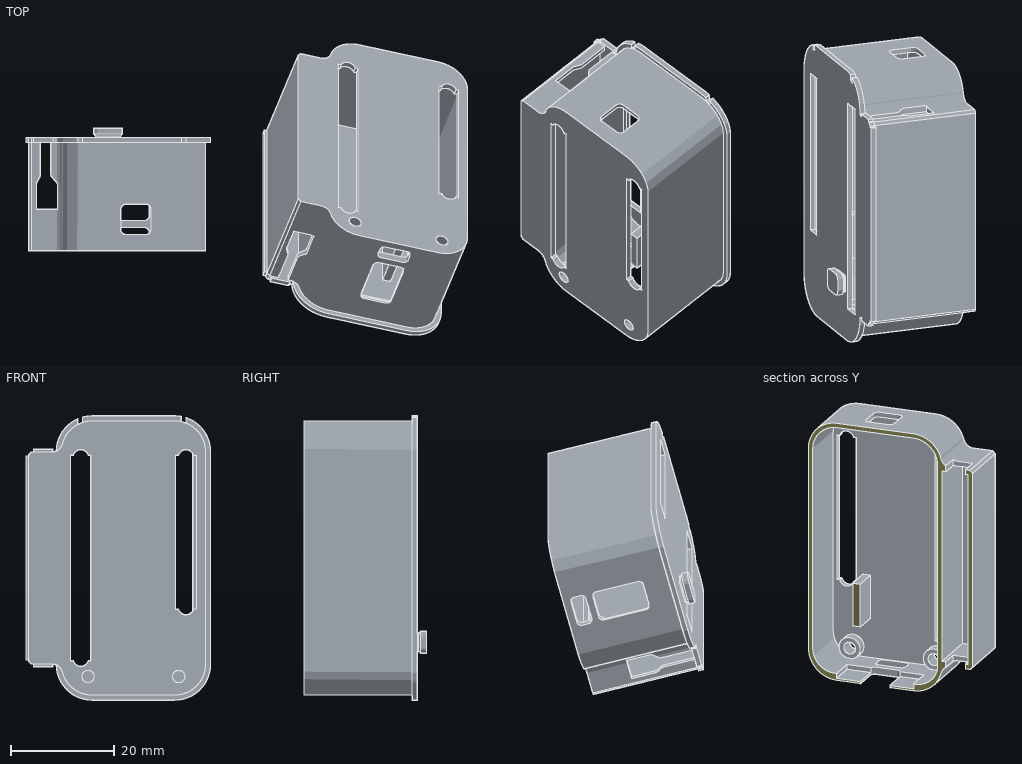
import cadquery as cq
import math

MAIN_WIDTH = 28.0
MAIN_HEIGHT = 53.23
DEPTH = 21.0
WALL = 1.0
FRONT_WALL = 1.2
BOTTOM_WALL = 1.5
CORNER_RADIUS = 6.0
BAY_LEFT = -20.35
BAY_HEIGHT = MAIN_HEIGHT - 2 * CORNER_RADIUS
BAY_CORNER_CHAMFER = 0.55
JOINT_RADIUS = 2.0

LID_THICKNESS = 1.0
MAIN_LIP = 1.0
BAY_LIP = 0.53
SIDE_LIP_HEIGHT = 39.6
BAY_LIP_LEFT = -19.4
BAY_LIP_RIGHT = -15.65
LIP_NOTCH_WIDTH = 0.9
LEFT_NOTCH_X = -10.8
RIGHT_NOTCH_X = 9.3

SLOT_X = 10.2
SLOT_WIDTH = 4.0
SLOT_TOP = 21.0
LONG_SLOT_BOTTOM = -21.0
SHORT_SLOT_BOTTOM = -11.0
SLOT_END_WIDTH = 3.0
SLOT_END_HEIGHT = 1.08
LID_LONG_SLOT_WIDTH = 3.85
LID_SHORT_SLOT_WIDTH = 3.3

HOLE_DIAMETER = 2.4
HOLE_X = 8.8
HOLE_Z = -23.0
BOSS_DIAMETER = 4.4
BOSS_LENGTH = 2.0

WINDOW_SIZE = 5.85
WINDOW_X = 0.48
WINDOW_Y = 6.1
WINDOW_RADIUS = 1.0

PORT_WIDTH = 6.1
PORT_RADIUS = 0.9
SMALL_PORT_FRONT = 1.5
SMALL_PORT_BACK = 4.5
LARGE_PORT_FRONT = 5.9
LARGE_PORT_BACK = 16.0
RECESS_WIDTH = 16.0
RECESS_FRONT = 6.55
RECESS_BACK = 16.6
RECESS_DEPTH = 1.0

NECK_LEFT, NECK_RIGHT = -18.05, -16.05
BELLY_LEFT, BELLY_RIGHT = -18.8, -14.75
BELLY_FRONT, BELLY_BACK = 8.1, 13.1
NECK_FRONT = 14.5
SHOULDER_RADIUS = 0.7

RIB_LEFT, RIB_RIGHT = 3.1, 4.7
RIB_FRONT = 6.55
RIB_BOTTOM, RIB_TOP = -14.9, -6.0

BUTTON_WIDTH = 5.6
BUTTON_HEIGHT = 4.35
BUTTON_RADIUS = 1.25
BUTTON_X = -4.92
BUTTON_Z = -16.35
BUTTON_STANDOFF = 0.25
BUTTON_THICKNESS = 1.55
BUTTON_CHAMFER = 0.4

LID_BACK = DEPTH + LID_THICKNESS


def prism(y_min, thickness, outline):
    """Extrude an outline drawn in X and Z toward +Y, starting at the given Y."""
    workplane = cq.Workplane("XZ", origin=(0, y_min, 0))
    return outline(workplane).extrude(-thickness)


def box(x_min, x_max, y_min, y_max, z_min, z_max):
    """A block between the given limits."""
    block = cq.Workplane("XY").box(x_max - x_min, y_max - y_min, z_max - z_min, centered=False)
    return block.translate((x_min, y_min, z_min))


def rounded_plate(y_min, thickness, width, height, radius):
    """A plate in the XZ plane, centred on X = Z = 0, with its four corners rounded."""
    plate = prism(y_min, thickness, lambda w: w.rect(width, height))
    return plate.edges("|Y").fillet(radius)


def housing_prism(y_min, thickness):
    """The outline of the housing extruded toward +Y."""
    corner = CORNER_RADIUS
    joint = JOINT_RADIUS
    left = BAY_LEFT
    bay_half = BAY_HEIGHT / 2
    right = MAIN_WIDTH / 2
    top = MAIN_HEIGHT / 2
    corner_x = MAIN_WIDTH / 2 - CORNER_RADIUS
    corner_z = MAIN_HEIGHT / 2 - CORNER_RADIUS
    joint_z = bay_half + joint
    joint_x = -corner_x - math.sqrt((corner + joint) ** 2 - (joint_z - corner_z) ** 2)
    share = corner / (corner + joint)
    touch_x = -corner_x + share * (joint_x + corner_x)
    touch_z = corner_z + share * (joint_z - corner_z)

    def outline(w):
        return (
            w.moveTo(left, -bay_half)
            .lineTo(joint_x, -bay_half)
            .radiusArc((touch_x, -touch_z), joint)
            .radiusArc((-corner_x, -top), -corner)
            .lineTo(corner_x, -top)
            .radiusArc((right, -corner_z), -corner)
            .lineTo(right, corner_z)
            .radiusArc((corner_x, top), -corner)
            .lineTo(-corner_x, top)
            .radiusArc((touch_x, touch_z), -corner)
            .radiusArc((joint_x, bay_half), joint)
            .lineTo(left, bay_half)
            .close()
        )

    return prism(y_min, thickness, outline).edges("|Y and <X").chamfer(BAY_CORNER_CHAMFER)


def main_cavity():
    """The inside of the main box, open at the back."""
    cavity = box(
        WALL - MAIN_WIDTH / 2,
        MAIN_WIDTH / 2 - WALL,
        FRONT_WALL,
        DEPTH,
        BOTTOM_WALL - MAIN_HEIGHT / 2,
        MAIN_HEIGHT / 2 - WALL,
    )
    top_radius = CORNER_RADIUS - WALL
    bottom_radius = CORNER_RADIUS - BOTTOM_WALL
    return cavity.edges("|Y and >Z").fillet(top_radius).edges("|Y and <Z").fillet(bottom_radius)


def bay_cavity():
    """The inside of the side bay, parted from the main box by the -X wall of that box."""
    half_height = BAY_HEIGHT / 2 - WALL
    return box(BAY_LEFT + WALL, -MAIN_WIDTH / 2, FRONT_WALL, DEPTH, -half_height, half_height)


def strap_slot(x, bottom):
    """Cutter for one strap slot in the front wall."""
    left = x - SLOT_WIDTH / 2
    low = bottom + SLOT_END_HEIGHT
    high = SLOT_TOP - SLOT_END_HEIGHT
    slot = box(left, left + SLOT_WIDTH, 0, FRONT_WALL, low, high)
    end_radius = SLOT_END_WIDTH / 2
    for z in (bottom + end_radius, SLOT_TOP - end_radius):
        slot = slot.union(prism(0, FRONT_WALL, lambda w: w.center(x, z).circle(end_radius)))
    return slot


def wall_opening(x, y_min, y_max, z_min, z_max, width, radius):
    """Cutter through a top or bottom wall with rounded corners."""
    opening = box(x - width / 2, x + width / 2, y_min, y_max, z_min, z_max)
    return opening.edges("|Z").fillet(radius)


def bay_opening():
    """Bottle-shaped cutter along Z, open at the back of the housing."""
    opening = (
        cq.Workplane("XY", origin=(0, 0, -MAIN_HEIGHT / 2))
        .moveTo(BELLY_LEFT, BELLY_FRONT)
        .lineTo(BELLY_RIGHT, BELLY_FRONT)
        .lineTo(BELLY_RIGHT, BELLY_BACK)
        .lineTo(NECK_RIGHT, NECK_FRONT)
        .lineTo(NECK_RIGHT, DEPTH)
        .lineTo(NECK_LEFT, DEPTH)
        .lineTo(NECK_LEFT, NECK_FRONT)
        .lineTo(BELLY_LEFT, BELLY_BACK)
        .close()
        .extrude(MAIN_HEIGHT)
    )
    margin = 0.5
    shoulders = cq.selectors.BoxSelector(
        (BELLY_LEFT - margin, BELLY_BACK - margin, -margin),
        (BELLY_RIGHT + margin, NECK_FRONT + margin, margin),
    )
    return opening.edges("|Z").edges(shoulders).fillet(SHOULDER_RADIUS)


def rod(x, y_min, length, diameter):
    """A cylinder along Y at the height of the small front holes."""
    return prism(y_min, length, lambda w: w.center(x, HOLE_Z).circle(diameter / 2))


def make_housing():
    """The hollow box with its slots, holes, window, ports and bay openings."""
    housing = housing_prism(0, DEPTH).cut(main_cavity()).cut(bay_cavity())
    housing = housing.cut(strap_slot(-SLOT_X, LONG_SLOT_BOTTOM))
    housing = housing.cut(strap_slot(SLOT_X, SHORT_SLOT_BOTTOM))
    for x in (-HOLE_X, HOLE_X):
        housing = housing.union(rod(x, FRONT_WALL, BOSS_LENGTH, BOSS_DIAMETER))
        housing = housing.cut(rod(x, 0, FRONT_WALL + BOSS_LENGTH, HOLE_DIAMETER))

    window_front = WINDOW_Y - WINDOW_SIZE / 2
    housing = housing.cut(
        wall_opening(
            WINDOW_X,
            window_front,
            window_front + WINDOW_SIZE,
            MAIN_HEIGHT / 2 - WALL,
            MAIN_HEIGHT / 2,
            WINDOW_SIZE,
            WINDOW_RADIUS,
        )
    )

    floor = -MAIN_HEIGHT / 2
    inner_floor = floor + BOTTOM_WALL
    for front, back in ((SMALL_PORT_FRONT, SMALL_PORT_BACK), (LARGE_PORT_FRONT, LARGE_PORT_BACK)):
        housing = housing.cut(wall_opening(0, front, back, floor, inner_floor, PORT_WIDTH, PORT_RADIUS))
    half_recess = RECESS_WIDTH / 2
    recess_floor = inner_floor - RECESS_DEPTH
    recess = box(-half_recess, half_recess, RECESS_FRONT, RECESS_BACK, recess_floor, inner_floor)
    return housing.cut(recess).cut(bay_opening())


def lid_slot(side, width, bottom):
    """Rectangular cutter behind a strap slot, sharing the -X edge of that slot."""
    left = side * SLOT_X - SLOT_WIDTH / 2
    return box(left, left + width, DEPTH, LID_BACK, bottom, SLOT_TOP)


def button_shape(y_min, thickness, inset):
    """The button outline moved inward by the inset and extruded toward +Y."""
    plate = rounded_plate(
        y_min, thickness, BUTTON_WIDTH - 2 * inset, BUTTON_HEIGHT - 2 * inset, BUTTON_RADIUS - inset
    )
    return plate.translate((BUTTON_X, 0, BUTTON_Z))


def make_lid():
    """The back plate with its lips, slots, rib and button hole."""
    lid = rounded_plate(
        DEPTH, LID_THICKNESS, MAIN_WIDTH + 2 * MAIN_LIP, MAIN_HEIGHT + 2 * MAIN_LIP, CORNER_RADIUS + MAIN_LIP
    )
    lid = lid.cut(box(-MAIN_WIDTH, -MAIN_WIDTH / 2, DEPTH, LID_BACK, -BAY_HEIGHT / 2, BAY_HEIGHT / 2))
    notch_bottom = MAIN_HEIGHT / 2 - CORNER_RADIUS
    for x in (LEFT_NOTCH_X, RIGHT_NOTCH_X):
        lid = lid.cut(box(x, x + LIP_NOTCH_WIDTH, DEPTH, LID_BACK, notch_bottom, MAIN_HEIGHT))
    lid = lid.union(housing_prism(DEPTH, LID_THICKNESS))

    half_side = SIDE_LIP_HEIGHT / 2
    lid = lid.union(box(BAY_LEFT - BAY_LIP, BAY_LEFT + WALL, DEPTH, LID_BACK, -half_side, half_side))
    half_lips = BAY_HEIGHT / 2 + BAY_LIP
    lid = lid.union(box(BAY_LIP_LEFT, BAY_LIP_RIGHT, DEPTH, LID_BACK, -half_lips, half_lips))

    lid = lid.cut(lid_slot(-1, LID_LONG_SLOT_WIDTH, LONG_SLOT_BOTTOM))
    lid = lid.cut(lid_slot(1, LID_SHORT_SLOT_WIDTH, SHORT_SLOT_BOTTOM))
    lid = lid.union(box(RIB_LEFT, RIB_RIGHT, RIB_FRONT, DEPTH, RIB_BOTTOM, RIB_TOP))
    return lid.cut(button_shape(DEPTH, LID_THICKNESS, BUTTON_CHAMFER))


def make_button():
    """A rounded cap, chamfered underneath, on a stem that fills the hole in the lid."""
    cap_front = LID_BACK + BUTTON_STANDOFF
    cap = button_shape(cap_front, BUTTON_THICKNESS, 0).faces("<Y").chamfer(BUTTON_CHAMFER)
    stem = button_shape(DEPTH, cap_front - DEPTH, BUTTON_CHAMFER)
    return cap.union(stem)


housing = make_housing()
lid = make_lid()
button = make_button()

result = cq.Compound.makeCompound([housing.val(), lid.val(), button.val()])